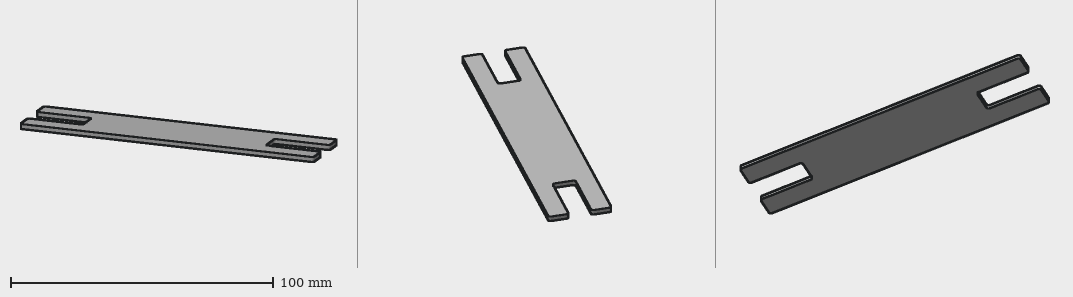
import cadquery as cq

length = 120.0
width = 25.0
thickness = 2.0
slot_depth = 22.5
slot_width = 9.0
corner_radius = 1.0


def end_slot(side):
    """Cutter for the slot open at the -X end (side = -1) or +X end (side = 1)."""
    center_x = side * (length - slot_depth) / 2
    return cq.Workplane("XY").box(slot_depth, slot_width, thickness).translate((center_x, 0, 0))


plate = cq.Workplane("XY").box(length, width, thickness)
for side in (-1, 1):
    plate = plate.cut(end_slot(side))

result = plate.edges("|Z").fillet(corner_radius)